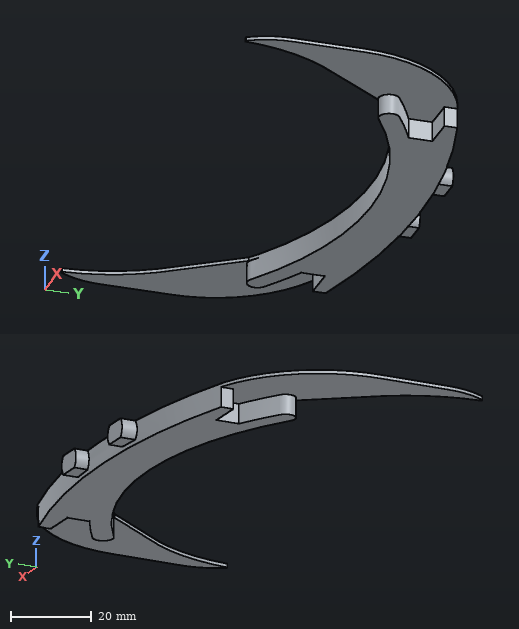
import cadquery as cq
import math

half_width = 74.2
total_height = 6.2
plate_thickness = 1.0

outer_apex_y = 69.6
outer_crown_radius = 183.3
shoulder_x = 51.7
shoulder_radius = 34.0
side_top_y = 29.7
side_bottom_y = 11.1
tip_outer_x = 71.0
tip_outer_radius = 20.6

tip_inner_x = 70.4
wing_bend = (63.0, 22.9)
wing_radius = 47.5
inner_corner = (49.5, 41.9)
inner_apex_y = 57.0
inner_radius = 89.1
inner_arc_end_x = 47.0

strap_width = 5.3
strap_end_x = 50.5
rib_body_half_width = 41.3
ledge_half_width = 50.6
ledge_inner_y = 59.1

lug_spacing = 25.5
lug_radius = 4.0
lug_height = 5.0
lug_back_y = 73.0
lug_root_y = 65.3

inner_center_y = inner_apex_y - inner_radius


def crown_y(x):
    """Height in Y of the shallow outer arc at a given X."""
    return outer_apex_y - outer_crown_radius + math.sqrt(outer_crown_radius**2 - x**2)


def ring_y(x, radius):
    """Height in Y of a circle about the center of the inner arc at a given X."""
    return inner_center_y + math.sqrt(radius**2 - x**2)


def mirrored(point):
    return (-point[0], point[1])


def make_plate():
    shoulder = (shoulder_x, crown_y(shoulder_x))
    tip_outer = (tip_outer_x, 0)
    tip_inner = (tip_inner_x, 0)
    arc_end = (inner_arc_end_x, ring_y(inner_arc_end_x, inner_radius))
    outline = (
        cq.Workplane("XY")
        .moveTo(*mirrored(shoulder))
        .threePointArc((0, outer_apex_y), shoulder)
        .radiusArc((half_width, side_top_y), shoulder_radius)
        .lineTo(half_width, side_bottom_y)
        .radiusArc(tip_outer, tip_outer_radius)
        .lineTo(*tip_inner)
        .radiusArc(wing_bend, -wing_radius)
        .lineTo(*inner_corner)
        .lineTo(*arc_end)
        .threePointArc((0, inner_apex_y), mirrored(arc_end))
        .lineTo(*mirrored(inner_corner))
        .lineTo(*mirrored(wing_bend))
        .radiusArc(mirrored(tip_inner), -wing_radius)
        .lineTo(*mirrored(tip_outer))
        .radiusArc((-half_width, side_bottom_y), tip_outer_radius)
        .lineTo(-half_width, side_top_y)
        .radiusArc(mirrored(shoulder), shoulder_radius)
        .close()
    )
    return outline.extrude(-plate_thickness)


def make_crown_block(block_half_width, bottom):
    """Block under the outer arc, with straight sides and the given lower edge."""
    corner = (block_half_width, crown_y(block_half_width))
    return (
        cq.Workplane("XY")
        .moveTo(*mirrored(corner))
        .threePointArc((0, outer_apex_y), corner)
        .lineTo(block_half_width, bottom)
        .lineTo(-block_half_width, bottom)
        .close()
        .extrude(-total_height)
    )


def make_strap():
    middle_radius = inner_radius + strap_width / 2
    outer_radius = inner_radius + strap_width
    reach = strap_end_x / middle_radius
    rise = math.sqrt(1 - reach**2)

    def end_point(radius):
        return (radius * reach, inner_center_y + radius * rise)

    cap_center = end_point(middle_radius)
    cap_tip = (cap_center[0] + rise * strap_width / 2, cap_center[1] - reach * strap_width / 2)
    inner_end = end_point(inner_radius)
    outer_end = end_point(outer_radius)
    return (
        cq.Workplane("XY")
        .moveTo(*mirrored(outer_end))
        .threePointArc((0, inner_center_y + outer_radius), outer_end)
        .threePointArc(cap_tip, inner_end)
        .threePointArc((0, inner_apex_y), mirrored(inner_end))
        .threePointArc(mirrored(cap_tip), mirrored(outer_end))
        .close()
        .extrude(-total_height)
    )


def make_rib():
    inside_circle = (
        cq.Workplane("XY")
        .center(0, inner_center_y)
        .circle(inner_radius)
        .extrude(-total_height)
    )
    strap_meets_body_y = ring_y(rib_body_half_width, inner_radius)
    body = make_crown_block(rib_body_half_width, strap_meets_body_y).cut(inside_circle)
    ledge = make_crown_block(ledge_half_width, ledge_inner_y)
    return body.union(ledge).union(make_strap())


def make_lug(x):
    length = lug_back_y - lug_root_y
    center = (x, lug_root_y, -lug_height / 2)
    barrel = cq.Workplane("XZ", origin=center).circle(lug_radius).extrude(-length)
    flats = cq.Workplane("XZ", origin=center).rect(2 * lug_radius, lug_height).extrude(-length)
    return barrel.intersect(flats)


result = make_plate().union(make_rib())
for side in (-1, 1):
    result = result.union(make_lug(side * lug_spacing / 2))
result = result.clean()